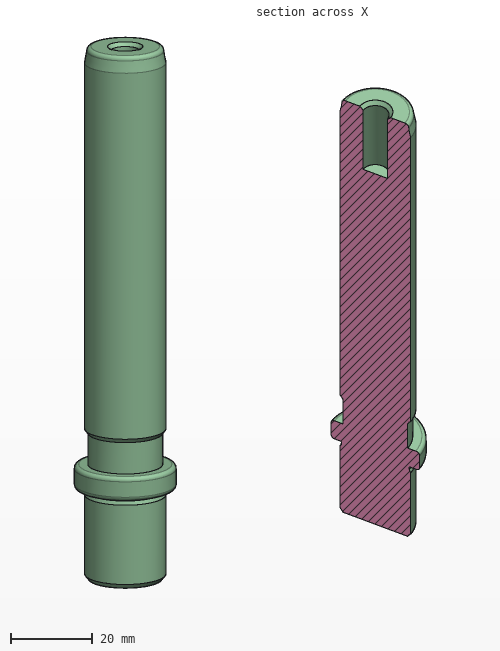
import cadquery as cq

length = 135.0
shaft_radius = 10.0
collar_radius = 12.49

end_chamfer = 1.0
end_chamfer_height = 1.2
relief_radius = 9.6
relief_start = 21.3
relief_taper = 1.0

collar_bottom = 23.0
collar_top = 29.0
collar_fillet = 1.1
neck_radius = 9.2
neck_top = 37.0
shoulder_height = 1.1

lead_radius = 9.5
lead_start = 131.0
tip_fillet = 1.1

hole_radius = 3.4
hole_depth = 20.2
countersink_radius = 4.3
countersink_depth = 1.0

tip_start = length - tip_fillet


def round_offset(radius):
    """Distance from a fillet's outer corner to the arc's midpoint, along each axis."""
    return radius * (1 - 0.5 ** 0.5)


def turned_body():
    """Revolve the radius / height profile of the pin around Z."""
    collar_mid = round_offset(collar_fillet)
    tip_mid = round_offset(tip_fillet)
    profile = (
        cq.Workplane("XZ")
        .moveTo(0, 0)
        .lineTo(shaft_radius - end_chamfer, 0)
        .lineTo(shaft_radius, end_chamfer_height)
        .lineTo(shaft_radius, relief_start)
        .lineTo(relief_radius, relief_start + relief_taper)
        .lineTo(relief_radius, collar_bottom)
        .lineTo(collar_radius - collar_fillet, collar_bottom)
        .threePointArc(
            (collar_radius - collar_mid, collar_bottom + collar_mid),
            (collar_radius, collar_bottom + collar_fillet),
        )
        .lineTo(collar_radius, collar_top - collar_fillet)
        .threePointArc(
            (collar_radius - collar_mid, collar_top - collar_mid),
            (collar_radius - collar_fillet, collar_top),
        )
        .lineTo(neck_radius, collar_top)
        .lineTo(neck_radius, neck_top)
        .lineTo(shaft_radius, neck_top + shoulder_height)
        .lineTo(shaft_radius, lead_start)
        .lineTo(lead_radius, tip_start)
        .threePointArc(
            (lead_radius - tip_mid, length - tip_mid),
            (lead_radius - tip_fillet, length),
        )
        .lineTo(0, length)
        .close()
    )
    return profile.revolve(360, (0, 0, 0), (0, 1, 0))


def centre_hole():
    """Blind flat-bottomed hole with a conical mouth."""
    profile = (
        cq.Workplane("XZ")
        .moveTo(0, length)
        .lineTo(countersink_radius, length)
        .lineTo(hole_radius, length - countersink_depth)
        .lineTo(hole_radius, length - hole_depth)
        .lineTo(0, length - hole_depth)
        .close()
    )
    return profile.revolve(360, (0, 0, 0), (0, 1, 0))


result = turned_body().cut(centre_hole())